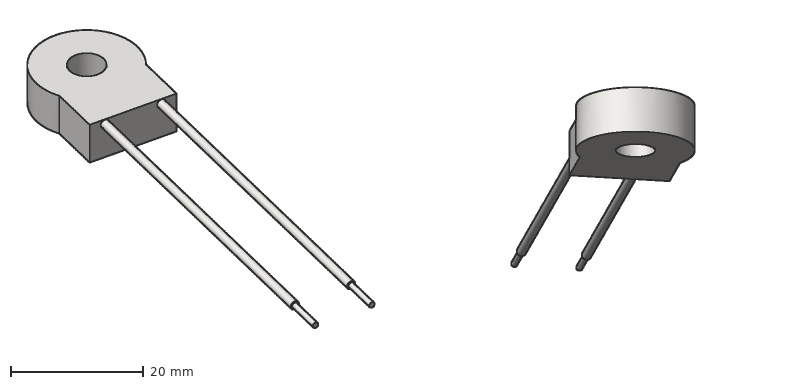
import cadquery as cq

total_length = 83.4
ring_diameter = 18.0
bore_diameter = 6.0
body_length = 22.4
block_width = 15.4
body_height = 7.1

lead_spacing = 10.0
lead_depth = 0.8
sleeve_diameter = 1.5
core_diameter = 1.0
stripped_length = 6.0

ring_radius = ring_diameter / 2
block_end_x = body_length - ring_radius
lead_end_x = total_length - ring_radius
sleeve_end_x = lead_end_x - stripped_length
lead_z = body_height - lead_depth


def make_body():
    """Ring and block of equal height, with the bore centred on the origin."""
    ring = cq.Workplane("XY").circle(ring_radius).extrude(body_height)
    block = cq.Workplane("XY").box(
        block_end_x, block_width, body_height, centered=(False, True, False)
    )
    bore = cq.Workplane("XY").circle(bore_diameter / 2).extrude(body_height)
    return ring.union(block).cut(bore)


def make_rod(start_x, end_x, y, diameter):
    """Round rod along X at lead height."""
    return (
        cq.Workplane("YZ", origin=(start_x, y, lead_z))
        .circle(diameter / 2)
        .extrude(end_x - start_x)
    )


def make_lead(y):
    """Insulated wire from the block's end face, with its bare core at the tip."""
    sleeve = make_rod(block_end_x, sleeve_end_x, y, sleeve_diameter)
    core = make_rod(sleeve_end_x, lead_end_x, y, core_diameter)
    return sleeve.union(core)


result = make_body()
for side in (-1, 1):
    result = result.union(make_lead(side * lead_spacing / 2))